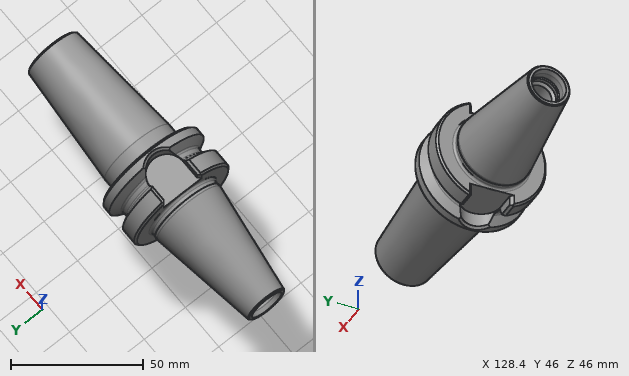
import cadquery as cq
import math


gauge_radius = 31.75 / 2
taper_length = 48.4
taper_per_side = 7 / 48
taper_end = -1.8
shank_chamfer = 0.4
neck_start = -0.7
neck_depth = 0.15
neck_fillet = 1.0

flange_face = 2.0
flange_length = 20.0
flange_radius = 23.0
flange_chamfer = 0.8
groove_radius = 18.7
groove_near_edge = 9.55
groove_far_edge = 17.6
groove_flank_angle = 60.0
groove_fillet = 1.0

nose_end = 80.0
nose_tip_radius = 12.0
nose_taper_angle = 4.5
nose_root_radius = 16.0
nose_root_fillet = 0.6
nose_chamfer = 0.6

slot_width = 16.1
slot_floor = 16.3
slot_length = 17.4
slot_side_chamfer = 1.25
slot_end_chamfer = 1.0

mouth_radius = 7.2
mouth_depth = 2.15
counterbore_radius = 6.7
counterbore_depth = 5.0
pilot_radius = 6.2
pilot_depth = 7.1
thread_drill_radius = 5.05
drill_depth = 30.0
drill_point_angle = 118.0

shank_end = -taper_length
flange_end = flange_face + flange_length
slot_end = flange_face + slot_length
groove_flank_run = (flange_radius - groove_radius) / math.tan(math.radians(groove_flank_angle))


def revolve_about_x(outline):
    return outline.close().revolve(360, (0, 0, 0), (1, 0, 0))


def taper_radius(x):
    return gauge_radius + taper_per_side * x


def flange_height(y):
    return math.sqrt(flange_radius**2 - y**2)


def make_body():
    land_radius = taper_radius(taper_end)
    neck_radius = land_radius - neck_depth
    near_corner = groove_near_edge + groove_flank_run
    far_corner = groove_far_edge - groove_flank_run
    flank_angle = math.radians(groove_flank_angle)
    fillet_setback = groove_fillet * math.tan(flank_angle / 2)
    flank_tangent_run = fillet_setback * math.cos(flank_angle)
    flank_tangent_radius = groove_radius + fillet_setback * math.sin(flank_angle)
    nose_rise = nose_root_radius - nose_tip_radius
    nose_taper_start = nose_end - nose_rise / math.tan(math.radians(nose_taper_angle))
    nose_chamfer_radius = nose_tip_radius + nose_chamfer * math.tan(math.radians(nose_taper_angle))

    outline = (
        cq.Workplane("XY")
        .moveTo(shank_end, 0)
        .lineTo(shank_end, taper_radius(shank_end) - shank_chamfer)
        .lineTo(shank_end + shank_chamfer, taper_radius(shank_end + shank_chamfer))
        .lineTo(taper_end, land_radius)
        .lineTo(neck_start, land_radius)
        .lineTo(neck_start, neck_radius)
        .lineTo(flange_face - neck_fillet, neck_radius)
        .radiusArc((flange_face, neck_radius + neck_fillet), -neck_fillet)
        .lineTo(flange_face, flange_radius - flange_chamfer)
        .lineTo(flange_face + flange_chamfer, flange_radius)
        .lineTo(groove_near_edge, flange_radius)
        .lineTo(near_corner - flank_tangent_run, flank_tangent_radius)
        .radiusArc((near_corner + fillet_setback, groove_radius), -groove_fillet)
        .lineTo(far_corner - fillet_setback, groove_radius)
        .radiusArc((far_corner + flank_tangent_run, flank_tangent_radius), -groove_fillet)
        .lineTo(groove_far_edge, flange_radius)
        .lineTo(flange_end - flange_chamfer, flange_radius)
        .lineTo(flange_end, flange_radius - flange_chamfer)
        .lineTo(flange_end, nose_root_radius + nose_root_fillet)
        .radiusArc((flange_end + nose_root_fillet, nose_root_radius), -nose_root_fillet)
        .lineTo(nose_taper_start, nose_root_radius)
        .lineTo(nose_end - nose_chamfer, nose_chamfer_radius)
        .lineTo(nose_end, nose_tip_radius - nose_chamfer)
        .lineTo(nose_end, 0)
    )
    return revolve_about_x(outline)


def make_slot(side):
    half_width = slot_width / 2
    arc_center = slot_end - half_width
    return (
        cq.Workplane("XY")
        .workplane(offset=side * slot_floor)
        .moveTo(flange_face, -half_width - slot_side_chamfer)
        .lineTo(flange_face + slot_side_chamfer, -half_width)
        .lineTo(arc_center, -half_width)
        .threePointArc((slot_end, 0), (arc_center, half_width))
        .lineTo(flange_face + slot_side_chamfer, half_width)
        .lineTo(flange_face, half_width + slot_side_chamfer)
        .close()
        .extrude(side * flange_radius)
    )


def make_slot_rim_chamfer(side):
    """Trough that bevels the rims where the slot walls meet the flange cylinder."""
    half_width = slot_width / 2
    outer_half_width = half_width + slot_side_chamfer
    inner_height = flange_height(half_width) - slot_side_chamfer
    outer_height = flange_height(outer_half_width)
    return (
        cq.Workplane("YZ")
        .workplane(offset=flange_face)
        .moveTo(-half_width, side * inner_height)
        .lineTo(half_width, side * inner_height)
        .lineTo(outer_half_width, side * outer_height)
        .lineTo(outer_half_width, side * flange_radius)
        .lineTo(-outer_half_width, side * flange_radius)
        .lineTo(-outer_half_width, side * outer_height)
        .close()
        .extrude(groove_near_edge + groove_flank_run - flange_face)
    )


def chamfer_slot_end(body, side):
    end_edge = cq.selectors.NearestToPointSelector((slot_end, 0, side * flange_radius))
    return body.edges(end_edge).chamfer(slot_end_chamfer)


def make_bore():
    drill_point = thread_drill_radius / math.tan(math.radians(drill_point_angle / 2))
    counterbore_end = shank_end + counterbore_depth
    pilot_end = shank_end + pilot_depth
    outline = (
        cq.Workplane("XY")
        .moveTo(shank_end, 0)
        .lineTo(shank_end, mouth_radius)
        .lineTo(shank_end + mouth_depth, counterbore_radius)
        .lineTo(counterbore_end, counterbore_radius)
        .lineTo(counterbore_end + counterbore_radius - pilot_radius, pilot_radius)
        .lineTo(pilot_end, pilot_radius)
        .lineTo(pilot_end + pilot_radius - thread_drill_radius, thread_drill_radius)
        .lineTo(shank_end + drill_depth, thread_drill_radius)
        .lineTo(shank_end + drill_depth + drill_point, 0)
    )
    return revolve_about_x(outline)


body = make_body()
for side in (1, -1):
    body = body.cut(make_slot(side))
    body = body.cut(make_slot_rim_chamfer(side))
for side in (1, -1):
    body = chamfer_slot_end(body, side)
result = body.cut(make_bore())